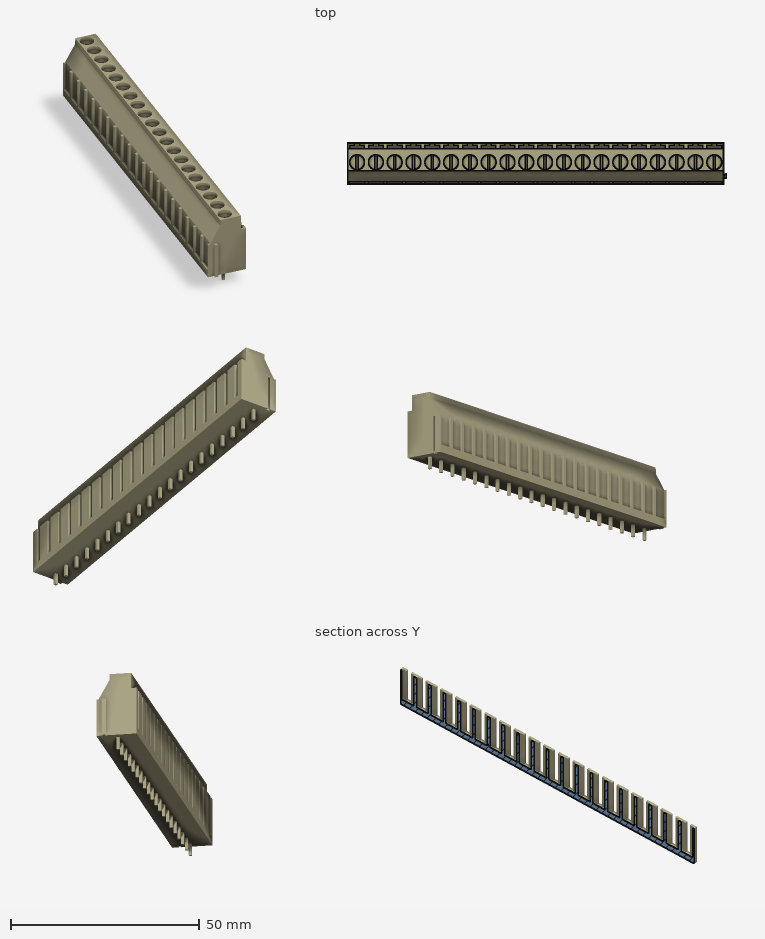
import cadquery as cq

TOTAL_LENGTH = 100.6
POLES = 20
DOVETAIL_DEPTH = 0.7
BODY_LENGTH = TOTAL_LENGTH - DOVETAIL_DEPTH
PITCH = BODY_LENGTH / POLES

BODY_DEPTH = 11.0
BODY_HEIGHT = 17.0
CROWN_FRONT = 3.5
CROWN_DRAFT = 0.05
BACK_SHELF_DEPTH = 1.5
SHELF_HEIGHT = 12.8
SLOPE_TOP = 15.3
LEDGE_DEPTH = 0.6
LEDGE_HEIGHT = 10.2

PANEL_BOTTOM = 2.1
PANEL_DEPTH = 0.7
FRONT_RIB = 0.9

POCKET_BOTTOM = PANEL_BOTTOM
POCKET_WALL = 1.1
POCKET_BACK_WALL = 0.65
POCKET_SLOT_WIDTH = 1.4

SCREW_Y = 5.8
SCREW_DIAMETER = 3.9
SCREW_SINK = 1.2
SLOT_WIDTH = 0.6
SLOT_DEPTH = 0.8

PIN_Y = 5.4
PIN_WIDTH = 0.75
PIN_THICKNESS = 0.8
PIN_LENGTH = 3.3

DOVETAIL_Y = 2.1
DOVETAIL_NECK = 0.6
DOVETAIL_WIDE = 1.2
DOVETAIL_HEIGHT = 10.1

pole_centers = [(i + 0.5) * PITCH for i in range(POLES)]
crown_back = BODY_DEPTH - BACK_SHELF_DEPTH


def block(x_range, y_range, z_range):
    """Box spanning the given (low, high) ranges."""
    lows, highs = zip(x_range, y_range, z_range)
    sizes = [high - low for low, high in zip(lows, highs)]
    return cq.Workplane("XY").box(*sizes, centered=False).translate(lows)


def centered(middle, width):
    """(low, high) range of the given width about a middle value."""
    return middle - width / 2, middle + width / 2


def body():
    outline = [
        (0, 0),
        (BODY_DEPTH, 0),
        (BODY_DEPTH, SHELF_HEIGHT),
        (crown_back, SHELF_HEIGHT),
        (crown_back, BODY_HEIGHT),
        (CROWN_FRONT + CROWN_DRAFT, BODY_HEIGHT),
        (CROWN_FRONT, SLOPE_TOP),
        (LEDGE_DEPTH, LEDGE_HEIGHT),
        (0, LEDGE_HEIGHT),
    ]
    return cq.Workplane("YZ").polyline(outline).close().extrude(BODY_LENGTH)


def front_panel(x):
    """Recess cut just behind the ledge, so that it opens upwards into the slope."""
    return block(centered(x, PITCH - FRONT_RIB), (0, PANEL_DEPTH), (PANEL_BOTTOM, BODY_HEIGHT))


def back_pocket(x):
    """T-shaped pocket, open upwards at the shelf and rearwards through its narrow slot."""
    z_range = (POCKET_BOTTOM, SHELF_HEIGHT)
    cavity = block(centered(x, PITCH - POCKET_WALL), (crown_back, BODY_DEPTH - POCKET_BACK_WALL), z_range)
    slot = block(centered(x, POCKET_SLOT_WIDTH), (crown_back, BODY_DEPTH), z_range)
    return cavity.union(slot)


def screw_cavity(x):
    """Round well above the screw head plus the driver slot across the head."""
    head_top = BODY_HEIGHT - SCREW_SINK
    well = cq.Workplane("XY", origin=(x, SCREW_Y, head_top)).circle(SCREW_DIAMETER / 2).extrude(SCREW_SINK)
    slot = block(
        centered(x, SLOT_WIDTH),
        centered(SCREW_Y, SCREW_DIAMETER),
        (head_top - SLOT_DEPTH, head_top),
    )
    return well.union(slot)


def pin(x):
    return block(centered(x, PIN_WIDTH), centered(PIN_Y, PIN_THICKNESS), (-PIN_LENGTH, 0))


def dovetail(x):
    """Dovetail prism with its neck on the plane at x, widening towards +X."""
    neck_low, neck_high = centered(DOVETAIL_Y, DOVETAIL_NECK)
    wide_low, wide_high = centered(DOVETAIL_Y, DOVETAIL_WIDE)
    outline = [
        (x, neck_low),
        (x + DOVETAIL_DEPTH, wide_low),
        (x + DOVETAIL_DEPTH, wide_high),
        (x, neck_high),
    ]
    return cq.Workplane("XY").polyline(outline).close().extrude(DOVETAIL_HEIGHT)


result = body().cut(dovetail(0)).union(dovetail(BODY_LENGTH))

for center in pole_centers:
    for cavity in (front_panel(center), back_pocket(center), screw_cavity(center)):
        result = result.cut(cavity)
    result = result.union(pin(center))